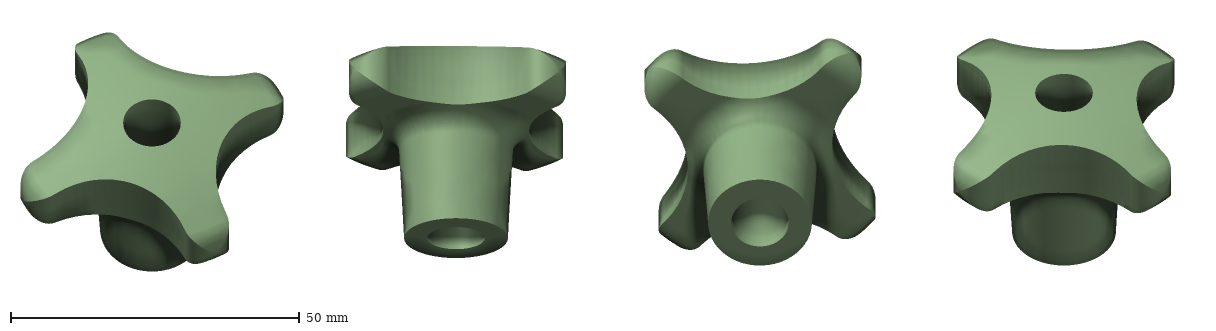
import cadquery as cq
import math

span = 50.0
apex_height = 32.0
arm_underside = 20.0
arm_width = 8.0
valley_radius = 16.75
rim_radius = 4.25
bore_diameter = 10.0
hub_bottom_radius = 9.0
hub_top_radius = 9.85
neck_fillet = 3.9
arm_count = 4
rim_overreach = 0.01

tip_radius = arm_width / 2
tip_center = span / 2 - tip_radius
rim_center_z = arm_underside + rim_radius
hub_top = arm_underside - neck_fillet
half_diagonal = math.sqrt(0.5)

rim_center = span / 2 + rim_overreach - rim_radius
rim_drop = apex_height - rim_center_z
dome_radius = (rim_center**2 + rim_drop**2 - rim_radius**2) / (2 * (rim_drop - rim_radius))
dome_center_z = apex_height - dome_radius


def on_dome(angle):
    """Point of the crown profile at an angle from the vertical axis."""
    return (dome_radius * math.sin(angle), dome_center_z + dome_radius * math.cos(angle))


def turned_body():
    """Tapered hub, neck blend, rounded rim and domed crown."""
    rim_angle = math.atan2(rim_center, rim_center_z - dome_center_z)
    neck_center = hub_top_radius + neck_fillet
    neck_middle = (
        neck_center - neck_fillet * half_diagonal,
        hub_top + neck_fillet * half_diagonal,
    )
    profile = (
        cq.Workplane("XZ")
        .lineTo(hub_bottom_radius, 0)
        .lineTo(hub_top_radius, hub_top)
        .threePointArc(neck_middle, (neck_center, arm_underside))
        .lineTo(rim_center, arm_underside)
        .threePointArc((rim_center + rim_radius, rim_center_z), on_dome(rim_angle))
        .threePointArc(on_dome(rim_angle / 2), (0, apex_height))
        .close()
    )
    return profile.revolve(360, (0, 0, 0), (0, 1, 0))


def star_prism():
    """Upright prism with round-ended arms, short flat flanks and concave valleys."""
    valley_center = tip_radius + valley_radius
    valley_middle = valley_center - valley_radius * half_diagonal

    def turned(x, y, angle):
        c, s = math.cos(angle), math.sin(angle)
        return (x * c - y * s, x * s + y * c)

    outline = cq.Workplane("XY").moveTo(tip_center, -tip_radius)
    for arm in range(arm_count):
        angle = arm * 2 * math.pi / arm_count
        tip_middle = turned(span / 2, 0, angle)
        tip_end = turned(tip_center, tip_radius, angle)
        outline = outline.threePointArc(tip_middle, tip_end)
        outline = outline.lineTo(*turned(valley_center, tip_radius, angle))
        valley_deepest = turned(valley_middle, valley_middle, angle)
        valley_end = turned(tip_radius, valley_center, angle)
        outline = outline.threePointArc(valley_deepest, valley_end)
        if arm < arm_count - 1:
            outline = outline.lineTo(*turned(tip_radius, tip_center, angle))
    return outline.close().extrude(apex_height)


bore = cq.Workplane("XY").circle(bore_diameter / 2).extrude(apex_height)

result = turned_body().intersect(star_prism()).cut(bore)